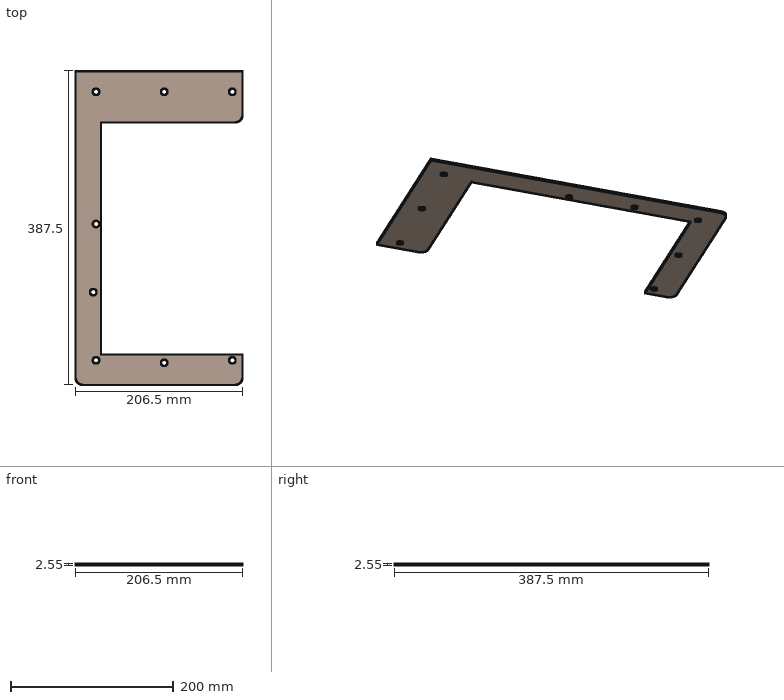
import cadquery as cq

width = 206.5
length = 387.5
thickness = 2.55

top_arm_width = 63.5
bottom_arm_width = 38.0
spine_width = 31.8

corner_radius = 9.5

hole_diameter = 7.7
edge_inset = 25.5
left_x = edge_inset
middle_x = 109.5
right_x = 193.5
top_y = length - edge_inset
bottom_y = 30.5
bottom_middle_y = 27.5
upper_spine_y = 198.7
lower_spine_x = 22.0
lower_spine_y = 114.5

hole_centers = [
    (left_x, top_y),
    (middle_x, top_y),
    (right_x, top_y),
    (left_x, upper_spine_y),
    (lower_spine_x, lower_spine_y),
    (left_x, bottom_y),
    (middle_x, bottom_middle_y),
    (right_x, bottom_y),
]


def c_plate():
    """Flat C-shaped plate, open toward +X, with square corners."""
    opening_bottom = bottom_arm_width
    opening_top = length - top_arm_width
    outline = [
        (0, 0),
        (width, 0),
        (width, opening_bottom),
        (spine_width, opening_bottom),
        (spine_width, opening_top),
        (width, opening_top),
        (width, length),
        (0, length),
    ]
    return cq.Workplane("XY").polyline(outline).close().extrude(thickness)


def round_corners(plate):
    """Round both bottom corners and the lower tip of the top arm."""
    rounded_corners = [(0, 0), (width, 0), (width, length - top_arm_width)]
    for x, y in rounded_corners:
        nearest_edge = cq.selectors.NearestToPointSelector((x, y, thickness / 2))
        plate = plate.edges("|Z").edges(nearest_edge).fillet(corner_radius)
    return plate


holes = (
    cq.Workplane("XY")
    .pushPoints(hole_centers)
    .circle(hole_diameter / 2)
    .extrude(thickness)
)

result = round_corners(c_plate()).cut(holes)